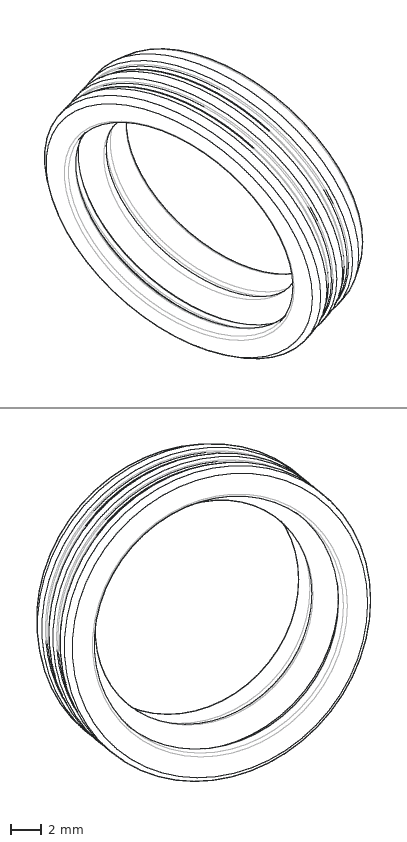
import cadquery as cq

outer_radius = 11.05
width = 6.0

front_chamfer = 0.4
rear_taper_start = 4.88
rear_taper_end = 5.8
rear_taper_depth = 0.33
rear_face_radius = 10.6

groove_starts = [1.13, 2.98]
groove_width = 1.17
groove_depth = 0.22
groove_ramp = 0.49
groove_rear_slope = 0.25
groove_fillet = 0.18

front_bore_radius = 8.99
rear_bore_radius = 8.2
edge_round = 0.2

ring_inner_radius = 7.88
ring_section_radius = 0.95
ring_center_radius = ring_inner_radius + ring_section_radius
ring_center_y = 2.72
channel_start = 1.9
channel_end = 3.75
channel_radius = ring_center_radius + ring_section_radius

relief_start = 1.2
relief_end = 1.68
rim_radius = 9.36


def revolve_about_y(profile):
    return profile.revolve(360, (0, 0, 0), (0, 1, 0), clean=False)


def make_sleeve_blank():
    """Plain ring with a chamfered front rim and a tapered rear rim."""
    return revolve_about_y(
        cq.Workplane("XY")
        .moveTo(front_bore_radius, 0)
        .lineTo(outer_radius - front_chamfer, 0)
        .lineTo(outer_radius, front_chamfer)
        .lineTo(outer_radius, rear_taper_start)
        .lineTo(outer_radius - rear_taper_depth, rear_taper_end)
        .lineTo(rear_face_radius, width)
        .lineTo(rear_bore_radius, width)
        .lineTo(rear_bore_radius, channel_end)
        .lineTo(front_bore_radius, channel_end)
        .close()
    )


def make_outer_groove(start):
    """Cutter with a long front ramp, a flat floor and a steep rear slope."""
    floor_radius = outer_radius - groove_depth
    end = start + groove_width
    cutter = revolve_about_y(
        cq.Workplane("XY")
        .moveTo(outer_radius, start)
        .lineTo(floor_radius, start + groove_ramp)
        .lineTo(floor_radius, end - groove_rear_slope)
        .lineTo(outer_radius, end)
        .close()
    )
    floor_edges = cq.selectors.RadiusNthSelector(0)
    return cutter.edges(floor_edges).fillet(groove_fillet)


def make_inner_grooves():
    """Cutter for the relief groove and O-ring channel, with a low rim left between them."""
    return revolve_about_y(
        cq.Workplane("XY")
        .moveTo(ring_inner_radius, relief_start)
        .lineTo(channel_radius, relief_start)
        .lineTo(channel_radius, relief_end)
        .lineTo(rim_radius, relief_end)
        .lineTo(rim_radius, channel_start)
        .lineTo(channel_radius, channel_start)
        .lineTo(channel_radius, channel_end)
        .lineTo(ring_inner_radius, channel_end)
        .close()
    )


def make_sleeve():
    sleeve = make_sleeve_blank()
    for start in groove_starts:
        sleeve = sleeve.cut(make_outer_groove(start))
    sleeve = sleeve.cut(make_inner_grooves())
    rear_edges = cq.selectors.RadiusNthSelector(0)
    front_edges = cq.selectors.RadiusNthSelector(1)
    sleeve = sleeve.edges(rear_edges + front_edges).fillet(edge_round)
    rim_front_edge = cq.selectors.NearestToPointSelector((0, relief_end, 0))
    return sleeve.edges("%CIRCLE").edges(rim_front_edge).fillet(edge_round)


def make_o_ring():
    """Round-section ring that touches the channel floor."""
    return revolve_about_y(
        cq.Workplane("XY")
        .moveTo(ring_inner_radius, ring_center_y)
        .threePointArc(
            (ring_center_radius, ring_center_y + ring_section_radius),
            (channel_radius, ring_center_y),
        )
        .threePointArc(
            (ring_center_radius, ring_center_y - ring_section_radius),
            (ring_inner_radius, ring_center_y),
        )
        .close()
    )


sleeve = make_sleeve()
o_ring = make_o_ring()

result = cq.Compound.makeCompound([sleeve.val(), o_ring.val()])